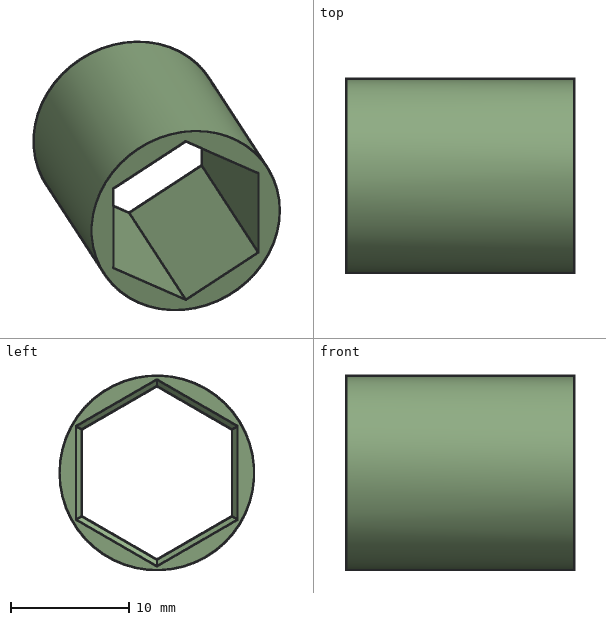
import cadquery as cq
import math

length = 19.32
outer_diameter = 16.5
hex_sides = 6
hex_flats = 12.7
corner_angle = 90
chamfer_width = 0.5
chamfer_depth = 0.5


def corner_diameter(across_flats):
    """Across-corners size of a regular hexagon."""
    return across_flats / math.cos(math.pi / hex_sides)


def hexagon(x, across_flats):
    """Hexagon in the YZ plane at x, with corners on the +Z and -Z sides."""
    return (
        cq.Workplane("YZ", origin=(x, 0, 0))
        .transformed(rotate=(0, 0, corner_angle))
        .polygon(hex_sides, corner_diameter(across_flats))
    )


def sleeve():
    """Plain round body lying along X."""
    return cq.Workplane("YZ").circle(outer_diameter / 2).extrude(length)


def hex_bore():
    """Hexagonal hole through the whole length."""
    return hexagon(0, hex_flats).extrude(length)


def entry_chamfer():
    """Tapered hexagonal lead-in at the X = 0 end, narrowing down to the bore."""
    taper_angle = math.degrees(math.atan2(chamfer_width, chamfer_depth))
    mouth_flats = hex_flats + 2 * chamfer_width
    return hexagon(0, mouth_flats).extrude(chamfer_depth, taper=taper_angle)


result = sleeve().cut(hex_bore()).cut(entry_chamfer())